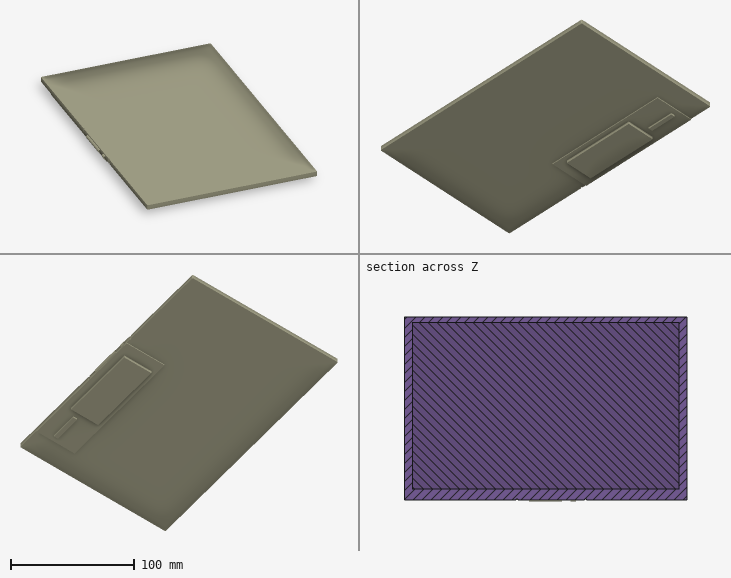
import cadquery as cq

panel_length = 229.5
panel_width = 148.7
panel_thickness = 4.1
corner_radius = 0.7
front_y = -panel_width / 2

side_border = 6.7
back_border = 4.8
front_border = 9.0
screen_length = panel_length - 2 * side_border
screen_width = panel_width - back_border - front_border
screen_y = (front_border - back_border) / 2
screen_thickness = panel_thickness / 2

slit_width = 1.1
slit_depth = 0.7
slit_places = [-23.2, 32.1]

board_left = -92.7
board_right = 27.0
board_depth = 38.8
board_thickness = 1.0

connector_left = -87.2
connector_length = 25.7
connector_setback = 13.5
connector_width = 4.0
connector_height = 1.5
shield_left = -55.0
shield_length = 70.7
shield_setback = 6.5
shield_width = 27.5
shield_height = 2.5

cable_radius = 1.5
cable_thickness = 0.2
cable_bottom = -cable_thickness / 2
cables = [(0.0, 26.6), (22.5, 4.1)]


def block(left, length, near_y, width, bottom, height):
    """Rectangular block given by its lowest X, Y and Z and its sizes."""
    corner = cq.Vector(left, near_y, bottom)
    return cq.Workplane(cq.Solid.makeBox(length, width, height, corner))


def make_screen():
    bottom = panel_thickness - screen_thickness
    return (
        cq.Workplane("XY", origin=(0, screen_y, bottom))
        .rect(screen_length, screen_width)
        .extrude(screen_thickness)
    )


def make_bezel(screen):
    bezel = (
        cq.Workplane("XY")
        .rect(panel_length, panel_width)
        .extrude(panel_thickness)
        .edges("|Z")
        .fillet(corner_radius)
        .cut(screen)
    )
    for x in slit_places:
        slit = block(x - slit_width / 2, slit_width, front_y, slit_depth, 0, panel_thickness)
        bezel = bezel.cut(slit)
    return bezel


def make_cable(centre_x, width):
    """Half tube whose upper end meets the panel edge and whose lower end meets the board edge."""
    middle = cable_bottom + cable_radius
    tube = (
        cq.Workplane("YZ", origin=(centre_x - width / 2, front_y, middle))
        .circle(cable_radius)
        .circle(cable_radius - cable_thickness)
        .extrude(width)
    )
    front_half = block(
        centre_x - width / 2, width, front_y - cable_radius, cable_radius, cable_bottom, 2 * cable_radius
    )
    return tube.intersect(front_half)


def make_board():
    board = block(
        board_left, board_right - board_left, front_y, board_depth,
        -board_thickness, board_thickness,
    )
    connector = block(
        connector_left, connector_length, front_y + connector_setback, connector_width,
        -board_thickness - connector_height, connector_height,
    )
    shield = block(
        shield_left, shield_length, front_y + shield_setback, shield_width,
        -board_thickness - shield_height, shield_height,
    )
    board = board.union(connector).union(shield)
    for centre_x, width in cables:
        board = board.union(make_cable(centre_x, width))
    return board


screen = make_screen()
bezel = make_bezel(screen)
board = make_board()

result = cq.Compound.makeCompound([bezel.solids().val(), screen.val(), board.solids().val()])